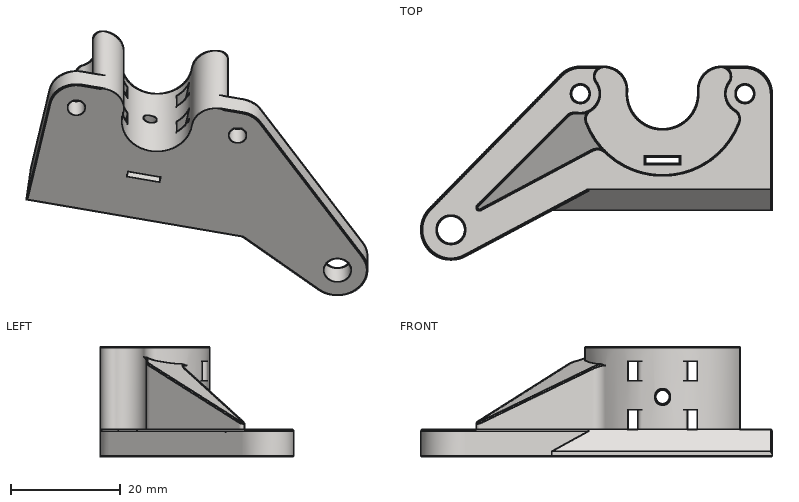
import cadquery as cq
import math

base_height = 5.0
total_height = 20.0

ring_radius = 15.0
bore_radius = 6.4
arm_tip_y = 5.0
arm_outer_round = 1.85
clamp_corner_round = 1.9
clamp_chamfer = 0.2

bolt_x = ring_radius
bolt_hole_d = 3.2
bolt_boss_radius = arm_tip_y
bolt_clearance_radius = 3.45
pivot_x = -38.5
pivot_y = -24.75
pivot_radius = 5.5
pivot_hole_d = 5.0
arm_lower_angle = math.radians(28)
bevel_top_y = -17.35
bevel_bottom_y = -21.25
bevel_lip = 0.95
plate_chamfer = 0.3
bottom_chamfer = 0.2
hole_chamfer = 0.2

rib_apex_x = -36.5
rib_apex_y = -23.05
rib_upper_angle = math.radians(45)
rib_lower_angle = arm_lower_angle
rib_tip_round = 0.6
rib_round = 2.05
rib_apex_height = 4.75
rib_slope = 0.447
rib_chamfer = 0.25

tie_slot_inner_x = 4.55
tie_slot_outer_x = 6.3
tie_slot_height = 3.5
tie_slot_round = 0.95
tie_slot_bottoms = (base_height, 13.8)
pin_hole_d = 2.5
pin_hole_z = 10.9
pin_chamfer = 0.25
strap_slot_length = 6.1
strap_slot_width = 1.1
strap_slot_y = -12.1
strap_chamfer = 0.25

tolerance = 0.005

arm_outer_y = arm_tip_y - arm_outer_round
arm_outer_reach = bolt_clearance_radius + arm_outer_round
arm_tip_x = bolt_x - math.sqrt(arm_outer_reach**2 - arm_outer_y**2)
arm_inner_round = (arm_tip_x**2 + arm_tip_y**2 - bore_radius**2) / (2 * (bore_radius + arm_tip_y))
arm_inner_y = arm_tip_y - arm_inner_round
bore_share = bore_radius / (bore_radius + arm_inner_round)
bore_end = (arm_tip_x * bore_share, arm_inner_y * bore_share)

clearance_share = bolt_clearance_radius / arm_outer_reach
clearance_top = (
    bolt_x + (arm_tip_x - bolt_x) * clearance_share,
    arm_outer_y * clearance_share,
)

corner_from_axis = ring_radius - clamp_corner_round
corner_from_bolt = bolt_clearance_radius + clamp_corner_round
corner_x = (corner_from_axis**2 - corner_from_bolt**2 + bolt_x**2) / (2 * bolt_x)
corner_y = -math.sqrt(corner_from_axis**2 - corner_x**2)
corner_share = bolt_clearance_radius / corner_from_bolt
clearance_bottom = (bolt_x + (corner_x - bolt_x) * corner_share, corner_y * corner_share)
ring_share = ring_radius / corner_from_axis
ring_end = (corner_x * ring_share, corner_y * ring_share)

arm_direction = math.atan2(-pivot_y, -bolt_x - pivot_x)
arm_length = math.hypot(-bolt_x - pivot_x, pivot_y)
taper = math.asin((pivot_radius - bolt_boss_radius) / arm_length)
upper_normal = arm_direction + math.pi / 2 - taper
upper_x = math.cos(upper_normal)
upper_y = math.sin(upper_normal)
boss_tangent = (-bolt_x + bolt_boss_radius * upper_x, bolt_boss_radius * upper_y)
pivot_upper = (pivot_x + pivot_radius * upper_x, pivot_y + pivot_radius * upper_y)

pivot_lower = (
    pivot_x + pivot_radius * math.sin(arm_lower_angle),
    pivot_y - pivot_radius * math.cos(arm_lower_angle),
)
pivot_end_angle = arm_direction + math.pi
pivot_end = (
    pivot_x + pivot_radius * math.cos(pivot_end_angle),
    pivot_y + pivot_radius * math.sin(pivot_end_angle),
)


def arm_lower_point(y):
    """Point with the given y on the lower side of the arm."""
    return (pivot_lower[0] + (y - pivot_lower[1]) / math.tan(arm_lower_angle), y)


def mirrored(point):
    """Same point on the other side of the YZ plane."""
    return (-point[0], point[1])


def open_bore(outline):
    """Continue an outline from the left arm tip through the bore to the right arm tip."""
    return (
        outline.radiusArc(mirrored(bore_end), arm_inner_round)
        .threePointArc((0, -bore_radius), bore_end)
        .radiusArc((arm_tip_x, arm_tip_y), arm_inner_round)
    )


def make_body():
    """Part of the plate under the clamp, with its bevelled front edge."""
    right_x = bolt_x + bolt_boss_radius
    body = (
        open_bore(cq.Workplane("XY").moveTo(-arm_tip_x, arm_tip_y))
        .lineTo(bolt_x, arm_tip_y)
        .radiusArc((right_x, 0), bolt_boss_radius)
        .lineTo(right_x, bevel_bottom_y)
        .lineTo(*arm_lower_point(bevel_bottom_y))
        .lineTo(*boss_tangent)
        .radiusArc((-bolt_x, arm_tip_y), bolt_boss_radius)
        .close()
        .extrude(base_height)
    )
    bevel = (
        cq.Workplane("YZ", origin=(pivot_x, 0, 0))
        .moveTo(bevel_top_y, base_height)
        .lineTo(bevel_bottom_y, bevel_lip)
        .lineTo(bevel_bottom_y, base_height)
        .close()
        .extrude(right_x - pivot_x)
    )
    return body.cut(bevel)


def make_arm():
    """Arm of the plate that reaches out to the pivot hole."""
    return (
        cq.Workplane("XY")
        .moveTo(*pivot_upper)
        .lineTo(*boss_tangent)
        .lineTo(-bolt_x, 0)
        .lineTo(*arm_lower_point(bevel_top_y))
        .lineTo(*pivot_lower)
        .threePointArc(pivot_end, pivot_upper)
        .close()
        .extrude(base_height)
    )


def is_plate_rim(edge):
    """True for the upper rim of the plate and the right end of its bevel, outside the bore."""
    center = edge.Center()
    box = edge.BoundingBox()
    on_top = box.zmin > base_height - tolerance
    in_bore = abs(center.x) < arm_tip_x and center.y > -bore_radius - tolerance
    along_bevel = abs(center.y - bevel_top_y) < tolerance
    reaches_top = box.zmax > base_height - tolerance
    right_bevel_end = reaches_top and box.xmin > bolt_x and box.ymin < bevel_top_y - tolerance
    return right_bevel_end or (on_top and not in_bore and not along_bevel)


def make_plate():
    """Body and arm joined, with chamfered upper and lower rims."""
    plate = make_body().union(make_arm())
    rim = [edge for edge in plate.edges().vals() if is_plate_rim(edge)]
    plate = plate.newObject(rim).chamfer(plate_chamfer)
    return plate.faces("<Z").edges().chamfer(bottom_chamfer)


def make_clamp():
    """Split ring with two rounded arms, running down through the plate."""
    clamp = (
        open_bore(cq.Workplane("XY").moveTo(-arm_tip_x, arm_tip_y))
        .radiusArc(clearance_top, arm_outer_round)
        .radiusArc(clearance_bottom, -bolt_clearance_radius)
        .radiusArc(ring_end, clamp_corner_round)
        .threePointArc((0, -ring_radius), mirrored(ring_end))
        .radiusArc(mirrored(clearance_bottom), clamp_corner_round)
        .radiusArc(mirrored(clearance_top), -bolt_clearance_radius)
        .radiusArc((-arm_tip_x, arm_tip_y), arm_outer_round)
        .close()
        .extrude(total_height)
    )
    return clamp.faces(">Z").edges().chamfer(clamp_chamfer)


def rib_side_end(angle, circle_x, radius):
    """First point where a rib side, leaving the apex at an angle, meets a circle on the X axis."""
    to_center_x = circle_x - rib_apex_x
    to_center_y = -rib_apex_y
    along = to_center_x * math.cos(angle) + to_center_y * math.sin(angle)
    aside = to_center_y * math.cos(angle) - to_center_x * math.sin(angle)
    length = along - math.sqrt(radius**2 - aside**2)
    return (rib_apex_x + length * math.cos(angle), rib_apex_y + length * math.sin(angle))


def above_rib():
    """Space above the sloped top, which rises along the upper side of the rib."""
    run = (total_height - rib_apex_height) / rib_slope
    side_plane = cq.Plane(
        origin=(rib_apex_x, rib_apex_y, 0),
        xDir=(math.cos(rib_upper_angle), math.sin(rib_upper_angle), 0),
        normal=(math.sin(rib_upper_angle), -math.cos(rib_upper_angle), 0),
    )
    return (
        cq.Workplane(side_plane)
        .moveTo(0, rib_apex_height)
        .lineTo(run, total_height)
        .lineTo(0, total_height)
        .close()
        .extrude(2 * ring_radius, both=True)
    )


def make_rib():
    """Wedge with a sloped top, rooted in a quarter of the ring and blended into its wall."""
    rib_bottom = base_height / 2
    height = total_height - clamp_chamfer - rib_bottom
    upper_end = rib_side_end(rib_upper_angle, 0, ring_radius)
    lower_end = rib_side_end(rib_lower_angle, 0, ring_radius)
    clearance_corner = rib_side_end(rib_upper_angle, -bolt_x, bolt_clearance_radius)
    wedge = (
        cq.Workplane("XY", origin=(0, 0, rib_bottom))
        .moveTo(rib_apex_x, rib_apex_y)
        .lineTo(*upper_end)
        .lineTo(0, 0)
        .lineTo(*lower_end)
        .close()
        .extrude(height)
    )
    half_chord = ring_radius * math.sqrt(0.5)
    root = (
        cq.Workplane("XY", origin=(0, 0, rib_bottom))
        .lineTo(-ring_radius, 0)
        .threePointArc((-half_chord, -half_chord), (0, -ring_radius))
        .close()
        .extrude(height)
    )
    clearance = (
        cq.Workplane("XY", origin=(-bolt_x, 0, rib_bottom))
        .circle(bolt_clearance_radius)
        .extrude(height)
    )
    rib = root.union(wedge).cut(clearance)
    for corner, radius in (
        ((rib_apex_x, rib_apex_y), rib_tip_round),
        (lower_end, rib_round),
        (clearance_corner, rib_round),
    ):
        rib = rib.edges(cq.NearestToPointSelector((*corner, rib_bottom + height / 2))).fillet(radius)
    rib = rib.cut(above_rib())

    slope_normal = cq.Vector(
        -rib_slope * math.cos(rib_upper_angle),
        -rib_slope * math.sin(rib_upper_angle),
        1,
    )
    slope_edges = rib.faces(cq.ParallelDirSelector(slope_normal)).edges().vals()
    outside_ring = [
        edge for edge in slope_edges
        if math.hypot(edge.Center().x, edge.Center().y) > ring_radius + tolerance
    ]
    rib = rib.newObject(outside_ring).chamfer(rib_chamfer)
    bore = cq.Workplane("XY").circle(bore_radius).extrude(total_height)
    return rib.cut(bore)


def add_tie_slots(part):
    """Openings for cable ties from the outer wall into the bore, with a rounded inner edge."""
    width = tie_slot_outer_x - tie_slot_inner_x
    middle_x = (tie_slot_inner_x + tie_slot_outer_x) / 2
    edge_y = -math.sqrt(ring_radius**2 - tie_slot_inner_x**2)
    for bottom in tie_slot_bottoms:
        for side in (-1, 1):
            slot = (
                cq.Workplane("XZ", origin=(side * middle_x, 0, bottom + tie_slot_height / 2))
                .rect(width, tie_slot_height)
                .extrude(ring_radius)
            )
            edge_middle = (side * tie_slot_inner_x, edge_y, bottom + tie_slot_height / 2)
            part = part.cut(slot)
            part = part.edges(cq.NearestToPointSelector(edge_middle)).fillet(tie_slot_round)
    return part


def vertical_hole(x, y, diameter):
    """Cutter for a hole through the plate with a chamfered upper mouth."""
    radius = diameter / 2
    return (
        cq.Workplane("XZ", origin=(x, y, 0))
        .lineTo(radius, 0)
        .lineTo(radius, base_height - hole_chamfer)
        .lineTo(radius + hole_chamfer, base_height)
        .lineTo(0, base_height)
        .close()
        .revolve(360, (0, 0), (0, 1))
    )


def pin_hole():
    """Radial hole through the front of the clamp wall, chamfered where it enters the wall."""
    hole = cq.Workplane("XZ", origin=(0, 0, pin_hole_z)).circle(pin_hole_d / 2).extrude(ring_radius)
    mouth = (
        cq.Workplane("XZ", origin=(0, pin_chamfer - ring_radius, pin_hole_z))
        .circle(pin_hole_d / 2)
        .workplane(offset=pin_chamfer)
        .circle(pin_hole_d / 2 + pin_chamfer)
        .loft()
    )
    return hole.union(mouth)


def strap_slot():
    """Narrow slot down through the clamp and the plate, with a chamfered mouth."""
    slot = cq.Workplane("XY").rect(strap_slot_length, strap_slot_width).extrude(total_height)
    mouth = (
        cq.Workplane("XY", origin=(0, 0, total_height - strap_chamfer))
        .rect(strap_slot_length, strap_slot_width)
        .workplane(offset=strap_chamfer)
        .rect(strap_slot_length + 2 * strap_chamfer, strap_slot_width + 2 * strap_chamfer)
        .loft()
    )
    return slot.union(mouth).translate((0, strap_slot_y, 0))


result = make_plate().union(make_clamp()).union(make_rib())
result = add_tie_slots(result)
for hole_x, hole_y, hole_d in (
    (-bolt_x, 0, bolt_hole_d),
    (bolt_x, 0, bolt_hole_d),
    (pivot_x, pivot_y, pivot_hole_d),
):
    result = result.cut(vertical_hole(hole_x, hole_y, hole_d))
result = result.cut(pin_hole()).cut(strap_slot())